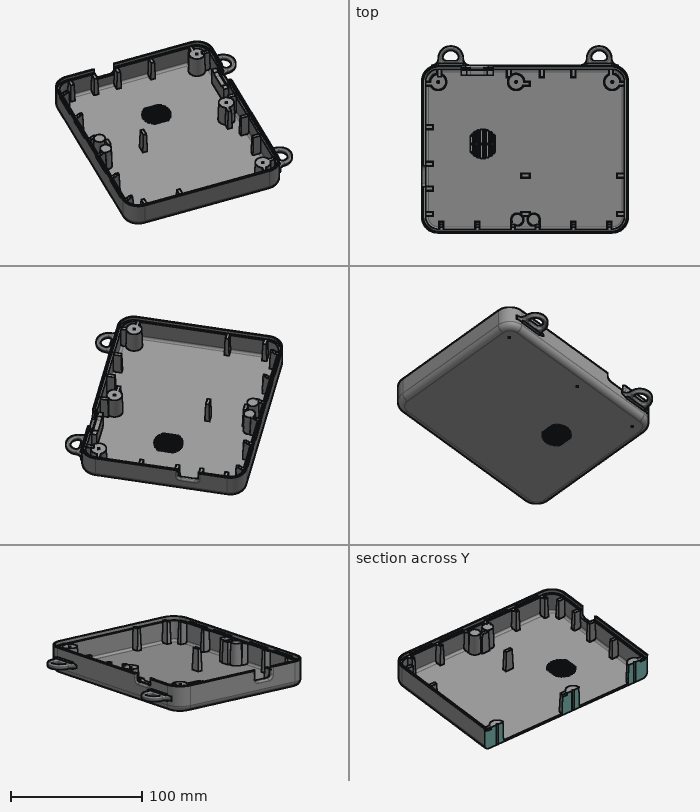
import cadquery as cq
import math

length = 157.6
width = 128.0
height = 21.1
corner_radius = 12.6
bottom_radius = 5.0
rim_chamfer = 0.5

wall = 3.0
floor_z = 2.0
floor_radius = 1.9
lip_wall = 1.3
ledge_depth = 3.0
ledge_z = height - ledge_depth
half_inner_length = length / 2 - wall
half_inner_width = width / 2 - wall

draft = 2.0
support_z = 19.5
left_rib_z = 18.5
rib_width = 3.8
rib_reach = 6.0
rear_rib_reach = 6.6
rear_rib_xs = (-65.2, -12.3, 13.0, 36.9)
front_rib_xs = (-63.8, -36.2, -9.1, 9.6, 36.9, 64.3)
left_rib_ys = (16.7, -11.3, -30.1, -49.5)
right_rib_ys = (-20.2, -49.5)
front_rib_crest = 2.4
front_rib_slope = 2.2

post_x = 0.5
post_length = 7.1
post_ys = (-20.2, -49.5)

boss_y = 51.2
boss_xs = (-66.2, -6.8, 66.5)
boss_radius = 6.5
boss_z = 19.2
screw_hole_diameter = 1.5
web_x = 65.5
web_y = 49.8

peg_radius = 4.9
peg_y = -53.7
peg_xs = (-5.8, 6.6)

grille_x = -32.2
grille_y = 4.0
grille_radius = 11.0
slot_count = 8
slot_pitch = 2.5
slot_width = 1.3
grille_bar = 1.3

notch_edge_radius = 1.5
selection_margin = 0.2
notch_cutter_length = 2 * wall
left_notch_y = -20.6
left_notch_width = 15.9
left_notch_depth = 9.1
left_notch_radius = 2.7
rear_notch_x = -36.5
rear_notch_width = 16.9
rear_notch_depth = 6.5
rear_notch_radius = 3.2

recess_width = 24.5
recess_radius = 7.0
recess_skin = 1.9
plate_gap = 0.8
plate_thickness = 3.8
plate_z = 16.0

snap_slot_xs = (-50.7, -21.3, 21.7, 51.2)
snap_slot_length = 20.8
snap_slot_height = 0.3
snap_slot_depth = 2.4
snap_slot_z = height - snap_slot_depth

loop_x = 56.5
loop_radius = 9.6
loop_hole_radius = 6.1
loop_thickness = 4.1
loop_z = 10.5
loop_edge_radius = 1.4
loop_top_y = 78.6
loop_y = loop_top_y - loop_radius
loop_hole_bottom_y = 67.5
hole_corner_radius = 2.5
foot_flare = 4.7
collar_size = 1.5


def rounded_block(inset, z_low, z_high):
    """Block with the body outline moved inwards by inset."""
    block = cq.Workplane("XY").workplane(offset=z_low)
    block = block.rect(length - 2 * inset, width - 2 * inset).extrude(z_high - z_low)
    return block.edges("|Z").fillet(corner_radius - inset)


def tapered_block(x_low, x_high, y_low, y_high, top=support_z):
    """Rectangular post rising from the floor and narrowing with the draft angle."""
    base = cq.Workplane("XY").workplane(offset=floor_z)
    base = base.center((x_low + x_high) / 2, (y_low + y_high) / 2)
    return base.rect(x_high - x_low, y_high - y_low).extrude(top - floor_z, taper=draft)


def tapered_cylinder(x, y, radius, top=support_z):
    """Round post rising from the floor and narrowing with the draft angle."""
    base = cq.Workplane("XY").workplane(offset=floor_z)
    return base.center(x, y).circle(radius).extrude(top - floor_z, taper=draft)


def rib_along_y(x, y_low, y_high, top=support_z):
    return tapered_block(x - rib_width / 2, x + rib_width / 2, y_low, y_high, top)


def rib_along_x(y, x_low, x_high, top=support_z):
    return tapered_block(x_low, x_high, y - rib_width / 2, y + rib_width / 2, top)


def notch_cutter(opening, depth, radius, thickness):
    """U-shaped cutter along +Y, open at the top rim and centred on X = 0."""
    bottom = height - depth
    cutter = cq.Workplane("XY").box(opening, thickness, 2 * depth, centered=(True, False, False))
    return cutter.edges("|Y and <Z").fillet(radius).translate((0, 0, bottom))


def make_envelope():
    """Outside of the body: rounded underside and a chamfered rim."""
    envelope = rounded_block(0, 0, height).faces("<Z").edges().fillet(bottom_radius)
    return envelope.faces(">Z").edges().chamfer(rim_chamfer)


def make_shell():
    shell = rounded_block(0, 0, height)
    interior = rounded_block(wall, floor_z, height).faces("<Z").edges().fillet(floor_radius)
    return shell.cut(interior).cut(rounded_block(lip_wall, ledge_z, height))


def make_front_rib(x):
    """Rib whose top slopes down to the ledge level next to the front wall."""
    rib = rib_along_y(x, -width / 2, rib_reach - half_inner_width)
    crest_y = -half_inner_width + rib_reach - front_rib_crest
    slope = (
        cq.Workplane("YZ")
        .moveTo(crest_y, support_z)
        .lineTo(crest_y - front_rib_slope, ledge_z)
        .lineTo(-width / 2, ledge_z)
        .lineTo(-width / 2, support_z)
        .close()
        .extrude(rib_width, both=True)
        .translate((x, 0, 0))
    )
    return rib.cut(slope)


def make_wall_ribs():
    rear_end = half_inner_width - rear_rib_reach
    side_end = half_inner_length - rib_reach
    ribs = [make_front_rib(x) for x in front_rib_xs]
    ribs += [rib_along_y(x, rear_end, width / 2) for x in rear_rib_xs]
    ribs += [rib_along_x(y, -length / 2, -side_end, left_rib_z) for y in left_rib_ys]
    ribs += [rib_along_x(y, side_end, length / 2) for y in right_rib_ys]
    return ribs


def make_posts():
    x_low, x_high = post_x - post_length / 2, post_x + post_length / 2
    posts = [rib_along_x(y, x_low, x_high) for y in post_ys]
    posts.append(rib_along_x(web_y, x_low, x_high, boss_z))
    posts += [tapered_cylinder(x, peg_y, peg_radius) for x in peg_xs]
    return posts


def make_bosses():
    """Screw bosses; the two corner ones are tied to both neighbouring walls by webs."""
    bosses = [tapered_cylinder(x, boss_y, boss_radius, boss_z) for x in boss_xs]
    web_end_x = web_x + boss_radius / 2
    web_end_y = boss_y + boss_radius / 2
    bosses.append(rib_along_x(web_y, -length / 2, -web_end_x, boss_z))
    bosses.append(rib_along_x(web_y, web_end_x, length / 2, boss_z))
    for side in (-1, 1):
        bosses.append(rib_along_y(side * web_x, web_end_y, width / 2, boss_z))
    return bosses


def make_backing_plate():
    """Upright plate just inside the rear notch, notched to match it."""
    depth = plate_thickness
    plate = cq.Workplane("XY").box(recess_width, depth, plate_z - floor_z, centered=(True, False, False))
    notch = notch_cutter(rear_notch_width, rear_notch_depth, rear_notch_radius, depth)
    plate = plate.translate((0, 0, floor_z)).cut(notch)
    return plate.translate((rear_notch_x, half_inner_width - plate_gap - depth, 0))


def make_supports():
    """Everything standing on the floor, trimmed to the inside of the walls."""
    supports = make_backing_plate()
    for part in make_wall_ribs() + make_posts() + make_bosses():
        supports = supports.union(part)
    return supports.intersect(rounded_block(wall, floor_z, height))


def make_loop(x):
    """Hanging loop: a ring on a flared foot, rounded on its long edges."""
    wall_y = width / 2
    root_y = wall_y - wall / 2
    foot_half_width = loop_radius + foot_flare
    bend = foot_flare * (1 - math.sqrt(0.5))
    outline = (
        cq.Workplane("XY")
        .moveTo(-foot_half_width, root_y)
        .lineTo(-foot_half_width, wall_y)
        .threePointArc((-loop_radius - bend, wall_y + bend), (-loop_radius, wall_y + foot_flare))
        .lineTo(-loop_radius, loop_y)
        .threePointArc((0, loop_top_y), (loop_radius, loop_y))
        .lineTo(loop_radius, wall_y + foot_flare)
        .threePointArc((loop_radius + bend, wall_y + bend), (foot_half_width, wall_y))
        .lineTo(foot_half_width, root_y)
        .close()
        .extrude(loop_thickness)
    )
    hole_drop = loop_y - loop_hole_bottom_y
    hole_corner_x = math.sqrt(loop_hole_radius**2 - hole_drop**2)
    hole = (
        cq.Workplane("XY")
        .moveTo(-hole_corner_x, loop_hole_bottom_y)
        .threePointArc((0, loop_y + loop_hole_radius), (hole_corner_x, loop_hole_bottom_y))
        .close()
        .extrude(loop_thickness)
        .edges("|Z")
        .fillet(hole_corner_radius)
    )
    loop = outline.cut(hole)
    clear_of_wall = cq.selectors.BoxSelector(
        (-length, wall_y + selection_margin, -height),
        (length, loop_top_y + selection_margin, height),
    )
    loop = loop.faces(">Z or <Z").edges(clear_of_wall).fillet(loop_edge_radius)
    half = loop_thickness / 2
    collar = (
        cq.Workplane("YZ")
        .polyline([
            (root_y, half + collar_size),
            (wall_y, half + collar_size / 2),
            (wall_y + collar_size, half),
            (wall_y + collar_size, -half),
            (wall_y, -half - collar_size / 2),
            (root_y, -half - collar_size),
        ])
        .close()
        .extrude(loop_radius, both=True)
        .translate((0, 0, half))
    )
    return loop.union(collar).translate((x, 0, loop_z - half))


def make_grille():
    disc = cq.Workplane("XY").circle(grille_radius).extrude(floor_z)
    slots = cq.Workplane("XY").rarray(slot_pitch, 1.5, slot_count, 1)
    slots = slots.rect(slot_width, 2 * grille_radius).extrude(floor_z)
    bar = cq.Workplane("XY").rect(2 * grille_radius, grille_bar).extrude(floor_z)
    return disc.intersect(slots).cut(bar).translate((grille_x, grille_y, 0))


def make_snap_slots():
    slots = cq.Workplane("XY").workplane(offset=snap_slot_z)
    slots = slots.pushPoints([(x, -width / 2) for x in snap_slot_xs])
    return slots.rect(snap_slot_length, 2 * lip_wall).extrude(snap_slot_height)


def cut_left_notch(tray):
    cutter = notch_cutter(left_notch_width, left_notch_depth, left_notch_radius, notch_cutter_length)
    cutter = cutter.rotate((0, 0, 0), (0, 0, 1), 90)
    tray = tray.cut(cutter.translate((notch_cutter_length / 2 - length / 2, left_notch_y, 0)))
    half = left_notch_width / 2 + selection_margin
    mouth = cq.selectors.BoxSelector(
        (-length / 2 - selection_margin, left_notch_y - half, height - left_notch_depth - selection_margin),
        (-length / 2 + selection_margin, left_notch_y + half, height - selection_margin),
    )
    return tray.edges(mouth).fillet(notch_edge_radius)


def cut_rear_notch(tray):
    """Notch through the rear wall, whose lip is thicker there above a recess in the ledge."""
    lip_pad = cq.Workplane("XY").box(recess_width, recess_skin, ledge_depth, centered=(True, False, False))
    tray = tray.union(lip_pad.translate((rear_notch_x, width / 2 - recess_skin, ledge_z)))
    cutter = notch_cutter(rear_notch_width, rear_notch_depth, rear_notch_radius, notch_cutter_length)
    tray = tray.cut(cutter.translate((rear_notch_x, (width - notch_cutter_length) / 2, 0)))
    half = rear_notch_width / 2 + selection_margin
    mouth = cq.selectors.BoxSelector(
        (rear_notch_x - half, width / 2 - selection_margin, height - rear_notch_depth - selection_margin),
        (rear_notch_x + half, width / 2 + selection_margin, height - selection_margin),
    )
    tray = tray.edges(mouth).fillet(notch_edge_radius)
    recess = notch_cutter(recess_width, rear_notch_depth, recess_radius, notch_cutter_length)
    recess_y = width / 2 - recess_skin - notch_cutter_length
    return tray.cut(recess.translate((rear_notch_x, recess_y, 0)))


def make_screw_holes():
    holes = cq.Workplane("XY").pushPoints([(x, boss_y) for x in boss_xs])
    return holes.circle(screw_hole_diameter / 2).extrude(boss_z)


tray = cut_rear_notch(cut_left_notch(make_shell())).intersect(make_envelope())
result = tray.union(make_supports())
for side in (-1, 1):
    result = result.union(make_loop(side * loop_x))
result = result.cut(make_grille()).cut(make_snap_slots()).cut(make_screw_holes())